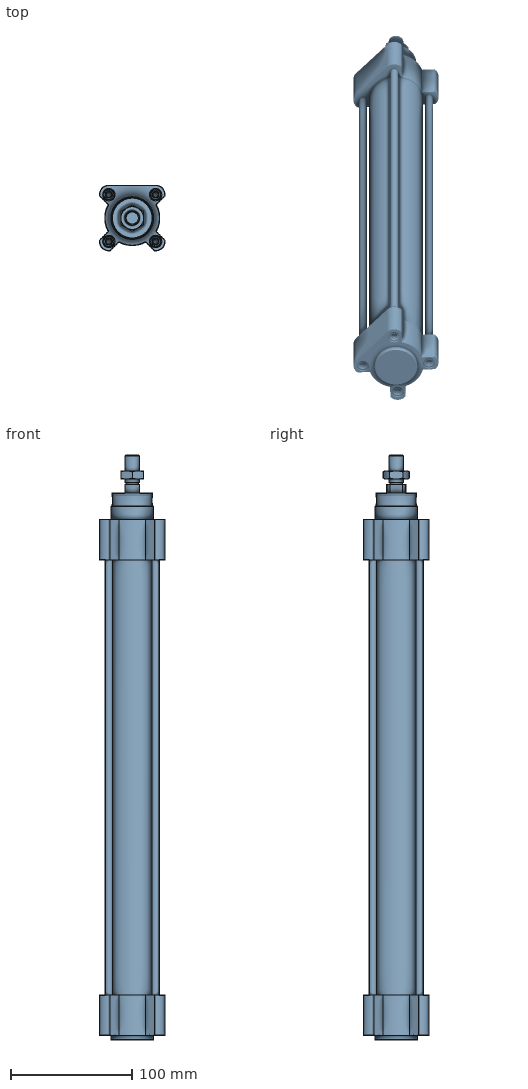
import cadquery as cq
import math

total_length = 482.0
base_pilot_height = 4.0
cap_height = 33.3
front_cap_bottom = 395.5
rear_cap_top = base_pilot_height + cap_height
front_cap_top = front_cap_bottom + cap_height
collar_step = 440.0
collar_top = 450.5
rod_shoulder = 458.0
undercut_top = 459.3
nut_bottom = 462.0
nut_thickness = 6.7

cap_width = 54.0
half_cap = cap_width / 2
cap_diameter = 45.5
tube_diameter = 44.5
corner_radius = 7.5
lobe_flat_end = 18.5
screw_spacing = 38.5
tie_rod_diameter = 6.5
counterbore_diameter = 10.0
counterbore_depth = 1.5
countersink_diameter = 8.0
thread_hole_diameter = 6.0
countersink_depth = 1.0
core_diameter = 4.5
thread_hole_depth = 9.5
drill_tip_depth = 1.5

pilot_diameter = 35.0
collar_diameter = 33.3
collar_waist_diameter = 33.0
collar_lip = 1.5
pilot_chamfer = 0.5

rod_diameter = 16.0
rod_flat_width = 12.0
undercut_diameter = 10.5
thread_diameter = 12.0
thread_chamfer = 1.0
nut_flat_width = 19.0
nut_bevel_angle = 30.0


def cylinder(diameter, bottom, top):
    """Upright cylinder on the Z axis between two heights."""
    return cq.Workplane("XY").workplane(offset=bottom).circle(diameter / 2).extrude(top - bottom)


def waist_notch(bottom):
    """Cutter for the -Y side that leaves a lobe at each corner of a cap, with 45 degree flanks."""
    notch = (
        cq.Workplane("XY")
        .workplane(offset=bottom)
        .polyline([(-lobe_flat_end, -half_cap), (lobe_flat_end, -half_cap), (0, lobe_flat_end - half_cap)])
        .close()
        .extrude(cap_height)
    )
    return notch.cut(cylinder(cap_diameter, bottom, bottom + cap_height))


def end_cap(bottom):
    """Square cap with rounded corners, waisted on three sides and flat on +Y."""
    cap = (
        cq.Workplane("XY")
        .workplane(offset=bottom)
        .rect(cap_width, cap_width)
        .extrude(cap_height)
        .edges("|Z")
        .fillet(corner_radius)
    )
    for side_angle in (-90, 0, 90):
        cap = cap.cut(waist_notch(bottom).rotate((0, 0, 0), (0, 0, 1), side_angle))
    return cap


def make_rod():
    """Stepped piston rod: shank with two wrench flats, undercut and chamfered thread."""
    shank = cylinder(rod_diameter, front_cap_bottom, rod_shoulder)
    flats_outline = 2 * rod_diameter
    flats = (
        cq.Workplane("XY")
        .workplane(offset=collar_top)
        .rect(flats_outline, flats_outline)
        .rect(rod_flat_width, rod_diameter)
        .extrude(rod_shoulder - collar_top)
    )
    undercut = cylinder(undercut_diameter, rod_shoulder, undercut_top)
    thread = cylinder(thread_diameter, undercut_top, total_length).faces(">Z").chamfer(thread_chamfer)
    return shank.cut(flats).union(undercut).union(thread)


def make_nut():
    """Hex nut with flats facing +X and -X and bevelled corners, bored to fit the thread."""
    corner_diameter = nut_flat_width / math.cos(math.pi / 6)
    hexagon = (
        cq.Workplane("XY")
        .workplane(offset=nut_bottom)
        .polygon(6, corner_diameter)
        .extrude(nut_thickness)
        .rotate((0, 0, 0), (0, 0, 1), 90)
    )
    bevel_width = (corner_diameter - nut_flat_width) / 2
    bevel_height = bevel_width * math.tan(math.radians(nut_bevel_angle))
    envelope = (
        cylinder(corner_diameter, nut_bottom, nut_bottom + nut_thickness)
        .faces("<Z or >Z")
        .chamfer(bevel_height, bevel_width)
    )
    bore = cylinder(thread_diameter, nut_bottom, nut_bottom + nut_thickness)
    return hexagon.intersect(envelope).cut(bore)


def make_collar():
    """Guide collar above the front pilot, with a shallow concave waist under a short lip."""
    half_waist = collar_waist_diameter / 2
    half_collar = collar_diameter / 2
    waist_top = collar_top - collar_lip
    return (
        cq.Workplane("XZ")
        .moveTo(0, collar_step)
        .lineTo(half_collar, collar_step)
        .threePointArc((half_waist, (collar_step + waist_top) / 2), (half_collar, waist_top))
        .lineTo(half_collar, collar_top)
        .lineTo(0, collar_top)
        .close()
        .revolve(360, (0, 0, 0), (0, 1, 0))
    )


def screw_recess():
    """Cutter for one stepped screw hole going down from the origin, with a conical drill tip."""
    countersink_bottom = -counterbore_depth - countersink_depth
    return (
        cq.Workplane("XZ")
        .polyline(
            [
                (0, 0),
                (counterbore_diameter / 2, 0),
                (counterbore_diameter / 2, -counterbore_depth),
                (countersink_diameter / 2, -counterbore_depth),
                (thread_hole_diameter / 2, countersink_bottom),
                (core_diameter / 2, countersink_bottom),
                (core_diameter / 2, -thread_hole_depth),
                (0, -thread_hole_depth - drill_tip_depth),
            ]
        )
        .close()
        .revolve(360, (0, 0, 0), (0, 1, 0))
    )


def make_housing():
    """Caps, tube, tie rods and collars in one body, with the rod bore and the screw recesses."""
    housing = cylinder(tube_diameter, rear_cap_top, front_cap_bottom)
    housing = housing.union(end_cap(base_pilot_height)).union(end_cap(front_cap_bottom))
    base_pilot = cylinder(pilot_diameter, 0, base_pilot_height).faces("<Z").chamfer(pilot_chamfer)
    front_pilot = cylinder(pilot_diameter, front_cap_top, collar_step).faces(">Z").chamfer(pilot_chamfer)
    housing = housing.union(base_pilot).union(front_pilot).union(make_collar())

    front_recess = screw_recess()
    rear_recess = front_recess.rotate((0, 0, 0), (1, 0, 0), 180)
    tie_rod = cylinder(tie_rod_diameter, rear_cap_top, front_cap_bottom)
    half_spacing = screw_spacing / 2
    for x in (-half_spacing, half_spacing):
        for y in (-half_spacing, half_spacing):
            housing = housing.union(tie_rod.translate((x, y, 0)))
            housing = housing.cut(front_recess.translate((x, y, front_cap_top)))
            housing = housing.cut(rear_recess.translate((x, y, base_pilot_height)))
    return housing.cut(cylinder(rod_diameter, front_cap_bottom, collar_top))


housing = make_housing()
piston_rod = make_rod()
nut = make_nut()

result = cq.Compound.makeCompound([housing.val(), piston_rod.val(), nut.val()])